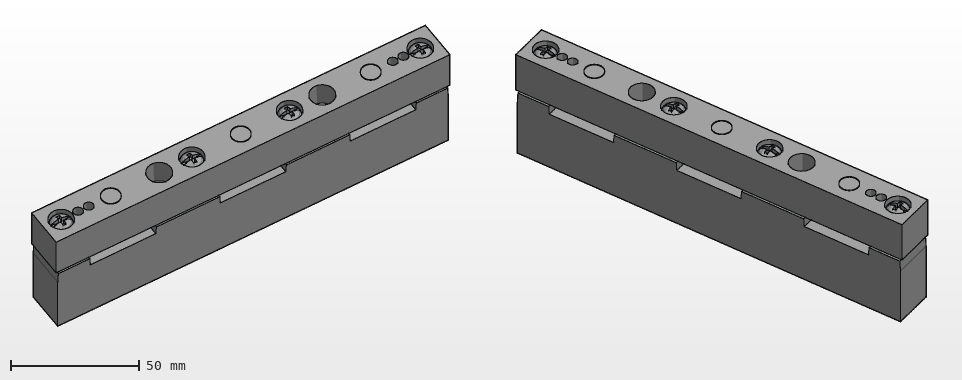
import cadquery as cq
import math

LENGTH = 181.6
WIDTH = 18.0
BAR_HEIGHT = 18.2

BASE_HEIGHT = 32.1
BASE_LENGTH = 180.1
RIDGE_WIDTH = 12.7
RIDGE_HEIGHT = 1.0
END_TAPER = 0.4
END_TAPER_HEIGHT = 6.0

WINDOW_PITCH = 60.0
WINDOW_HEIGHT = 4.9
WINDOW_TOP_LENGTH = 30.9
WINDOW_TAPER = 0.4
WINDOW_CENTERS = [-WINDOW_PITCH, 0, WINDOW_PITCH]

MOUNT_Y = 37.6
MOUNT_HOLE_DIAMETER = 7.0
MOUNT_BORE_DIAMETER = 10.5
MOUNT_BORE_DEPTH = 10.9

TEST_HOLE_DIAMETER = 4.2
TEST_HOLE_Y = [70.1, 75.0]

LABEL_DIAMETER = 8.2
LABEL_DEPTH = 0.4

SCREW_INNER_Y = 22.5
SCREW_OUTER_Y = 82.8
SCREW_CENTERS = [-SCREW_OUTER_Y, -SCREW_INNER_Y, SCREW_INNER_Y, SCREW_OUTER_Y]
HEAD_BORE_DIAMETER = 10.4
HEAD_BORE_DEPTH = 3.8
HEAD_RADIUS = 4.7
HEAD_SIDE_HEIGHT = 1.0
SHOULDER_RADIUS = 4.0
SHOULDER_HEIGHT = 2.4
SHOULDER_BULGE = 0.2
CROWN_HEIGHT = 3.6
SHANK_DIAMETER = 5.0
SHANK_LENGTH = 21.8
SLOT_WIDTH = 1.5
SLOT_DEPTH = 1.8
CROSS_LENGTH = 5.0
CROSS_DEPTH = 2.2

BAR_TOP = BASE_HEIGHT + BAR_HEIGHT
HEAD_SEAT = BAR_TOP - HEAD_BORE_DEPTH
SHANK_END = HEAD_SEAT - SHANK_LENGTH
CROWN_TOP = HEAD_SEAT + CROWN_HEIGHT


def cylinder(y, diameter, bottom, top):
    """Upright cylinder on the centre plane of the part."""
    return cq.Workplane("XY", origin=(0, y, bottom)).circle(diameter / 2).extrude(top - bottom)


def block(length_x, length_y, bottom, top):
    """Box centred on the Z axis between two levels."""
    return cq.Workplane("XY", origin=(0, 0, bottom)).rect(length_x, length_y).extrude(top - bottom)


def base_body():
    """Body whose ends taper inward near the top, as an outline in the YZ plane extruded across the width."""
    foot_y = BASE_LENGTH / 2
    top_y = foot_y - END_TAPER
    taper_start = BASE_HEIGHT - END_TAPER_HEIGHT
    outline = [
        (-foot_y, 0),
        (foot_y, 0),
        (foot_y, taper_start),
        (top_y, BASE_HEIGHT),
        (-top_y, BASE_HEIGHT),
        (-foot_y, taper_start),
    ]
    return cq.Workplane("YZ").polyline(outline).close().extrude(WIDTH / 2, both=True)


def window_cutter(y):
    """Cable window, slightly shorter at its floor than at its top."""
    top_half = WINDOW_TOP_LENGTH / 2
    floor_half = top_half - WINDOW_TAPER
    floor = BASE_HEIGHT - WINDOW_HEIGHT
    outline = [
        (y - floor_half, floor),
        (y + floor_half, floor),
        (y + top_half, BASE_HEIGHT),
        (y - top_half, BASE_HEIGHT),
    ]
    return cq.Workplane("YZ").polyline(outline).close().extrude(WIDTH, both=True)


def make_base():
    base = base_body()
    shoulder = BASE_HEIGHT - RIDGE_HEIGHT
    around_ridge = block(2 * WIDTH, LENGTH, shoulder, BASE_HEIGHT)
    base = base.cut(around_ridge.cut(block(RIDGE_WIDTH, LENGTH, shoulder, BASE_HEIGHT)))
    for y in WINDOW_CENTERS:
        base = base.cut(window_cutter(y))
    for y in (-MOUNT_Y, MOUNT_Y):
        base = base.cut(cylinder(y, MOUNT_HOLE_DIAMETER, 0, BASE_HEIGHT))
    for y in SCREW_CENTERS:
        base = base.cut(cylinder(y, SHANK_DIAMETER, SHANK_END, BASE_HEIGHT))
    return base


def make_bar():
    bar = block(WIDTH, LENGTH, BASE_HEIGHT, BAR_TOP)
    for y in (-MOUNT_Y, MOUNT_Y):
        bar = bar.cut(cylinder(y, MOUNT_HOLE_DIAMETER, BASE_HEIGHT, BAR_TOP))
        bar = bar.cut(cylinder(y, MOUNT_BORE_DIAMETER, BAR_TOP - MOUNT_BORE_DEPTH, BAR_TOP))
    for y in SCREW_CENTERS:
        bar = bar.cut(cylinder(y, SHANK_DIAMETER, BASE_HEIGHT, BAR_TOP))
        bar = bar.cut(cylinder(y, HEAD_BORE_DIAMETER, HEAD_SEAT, BAR_TOP))
    for y in TEST_HOLE_Y:
        for side in (-1, 1):
            bar = bar.cut(cylinder(side * y, TEST_HOLE_DIAMETER, BASE_HEIGHT, BAR_TOP))
    for y in WINDOW_CENTERS:
        bar = bar.cut(cylinder(y, LABEL_DIAMETER, BAR_TOP - LABEL_DEPTH, BAR_TOP))
    return bar


def make_screw(y):
    """Pan-head screw with a plain shank, a driver slot along Y and a cross recess."""
    shoulder_middle = (
        (HEAD_RADIUS + SHOULDER_RADIUS) / 2 + SHOULDER_BULGE,
        HEAD_SEAT + (HEAD_SIDE_HEIGHT + SHOULDER_HEIGHT) / 2 + SHOULDER_BULGE,
    )
    crown_rise = CROWN_HEIGHT - SHOULDER_HEIGHT
    crown_radius = (SHOULDER_RADIUS**2 + crown_rise**2) / (2 * crown_rise)
    half_angle = math.asin(SHOULDER_RADIUS / crown_radius) / 2
    crown_middle = (
        crown_radius * math.sin(half_angle),
        CROWN_TOP - crown_radius * (1 - math.cos(half_angle)),
    )
    screw = (
        cq.Workplane("XZ")
        .moveTo(0, CROWN_TOP)
        .threePointArc(crown_middle, (SHOULDER_RADIUS, HEAD_SEAT + SHOULDER_HEIGHT))
        .threePointArc(shoulder_middle, (HEAD_RADIUS, HEAD_SEAT + HEAD_SIDE_HEIGHT))
        .lineTo(HEAD_RADIUS, HEAD_SEAT)
        .lineTo(SHANK_DIAMETER / 2, HEAD_SEAT)
        .lineTo(SHANK_DIAMETER / 2, SHANK_END)
        .lineTo(0, SHANK_END)
        .close()
        .revolve(360, (0, 0, 0), (0, 1, 0))
    )
    screw = screw.cut(block(SLOT_WIDTH, 2 * HEAD_RADIUS, CROWN_TOP - SLOT_DEPTH, CROWN_TOP))
    screw = screw.cut(block(CROSS_LENGTH, SLOT_WIDTH, CROWN_TOP - CROSS_DEPTH, CROWN_TOP))
    screw = screw.cut(block(SLOT_WIDTH, CROSS_LENGTH, CROWN_TOP - CROSS_DEPTH, CROWN_TOP))
    return screw.translate((0, y, 0))


base = make_base()
bar = make_bar()
screws = [make_screw(y) for y in SCREW_CENTERS]

result = cq.Compound.makeCompound([base.val(), bar.val(), *[screw.val() for screw in screws]])